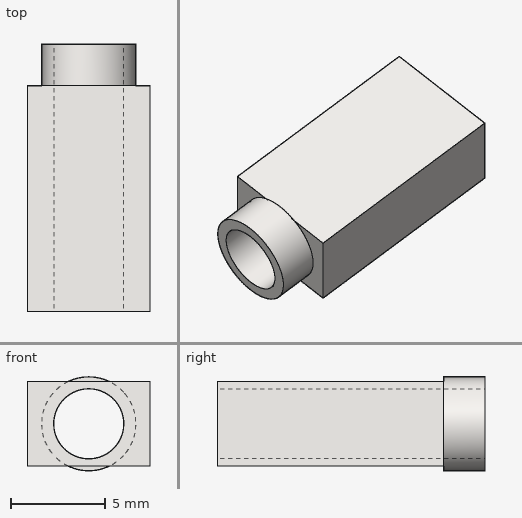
import cadquery as cq

total_length = 14.2
block_width = 6.5
block_height = 4.5
block_length = 12.0
collar_diameter = 5.0
bore_diameter = 3.7

collar_length = total_length - block_length


def cylinder_along_y(diameter, start_y, length):
    """Cylinder on the Y axis, running from start_y toward +Y."""
    start = cq.Vector(0, start_y, 0)
    return cq.Workplane(cq.Solid.makeCylinder(diameter / 2, length, start, cq.Vector(0, 1, 0)))


block = cq.Workplane("XY").box(block_width, block_length, block_height, centered=(True, False, True))

collar = cylinder_along_y(collar_diameter, block_length, collar_length)

bore = cylinder_along_y(bore_diameter, 0, total_length)

result = block.union(collar).cut(bore)